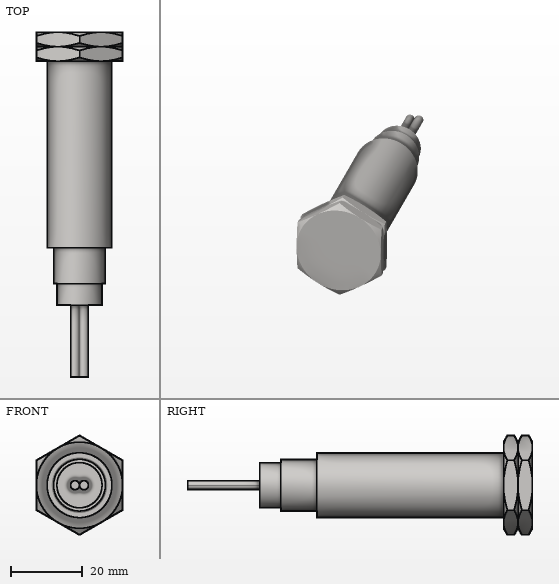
import cadquery as cq
import math

total_length = 96.0
across_flats = 24.0
nut_thickness = 4.0
nut_count = 2
chamfer_angle = 30.0
body_diameter = 18.0
body_length = 51.9
neck_diameter = 14.4
neck_length = 10.0
tip_diameter = 12.6
tip_length = 6.0
wire_diameter = 2.5

across_corners = across_flats / math.cos(math.radians(30))
back_y = total_length / 2
body_top_y = back_y - nut_count * nut_thickness
body_end_y = body_top_y - body_length
neck_end_y = body_end_y - neck_length
tip_end_y = neck_end_y - tip_length
wire_length = tip_end_y + total_length / 2


def cylinder(diameter, start_y, length, x=0.0):
    """Cylinder from start_y toward -Y."""
    plane = cq.Workplane("XZ", origin=(x, start_y, 0))
    return plane.circle(diameter / 2).extrude(length)


def hex_nut(start_y):
    """Nut with flats facing X and its corners coned off on both faces."""
    end_y = start_y - nut_thickness
    hexagon = (
        cq.Workplane("XZ", origin=(0, start_y, 0))
        .transformed(rotate=(0, 0, 90))
        .polygon(6, across_corners)
        .extrude(nut_thickness)
    )
    face_radius = across_flats / 2
    corner_radius = across_corners / 2
    cone_height = (corner_radius - face_radius) * math.tan(math.radians(chamfer_angle))
    envelope = (
        cq.Workplane("XY")
        .polyline([
            (0, start_y),
            (face_radius, start_y),
            (corner_radius, start_y - cone_height),
            (corner_radius, end_y + cone_height),
            (face_radius, end_y),
            (0, end_y),
        ])
        .close()
        .revolve(360, (0, 0, 0), (0, 1, 0))
    )
    return hexagon.intersect(envelope)


result = (
    cylinder(body_diameter, body_top_y, body_length)
    .union(cylinder(neck_diameter, body_end_y, neck_length))
    .union(cylinder(tip_diameter, neck_end_y, tip_length))
)

for index in range(nut_count):
    result = result.union(hex_nut(back_y - index * nut_thickness))

for side in (-1, 1):
    result = result.union(cylinder(wire_diameter, tip_end_y, wire_length, side * wire_diameter / 2))